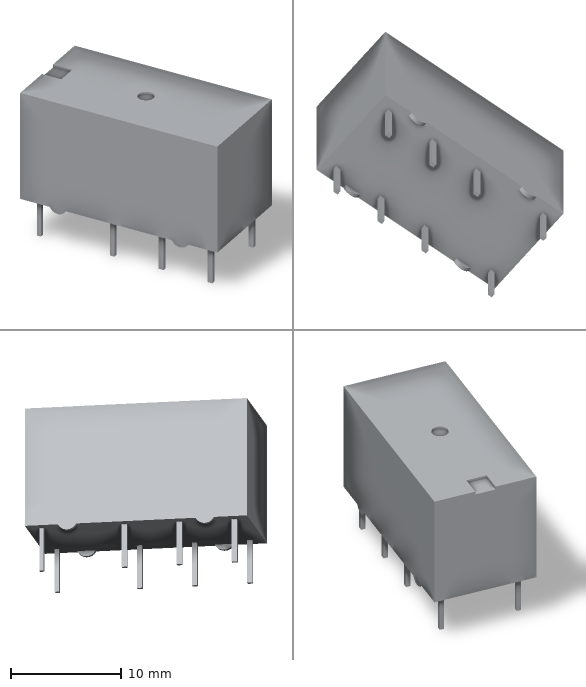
import cadquery as cq

housing_length = 20.5
housing_width = 10.1
total_height = 15.0
pin_length = 4.0
housing_height = total_height - pin_length

pin_pitch = 5.08
row_spacing = 1.5 * pin_pitch
pin_depth = 0.4
coil_pin_width = 0.4
contact_pin_width = 0.5
last_pin_x = 8.9
contact_pin_positions = [last_pin_x - i * pin_pitch for i in range(3)]
coil_pin_x = contact_pin_positions[-1] - 1.5 * pin_pitch

foot_spacing = 12.7
foot_chord = 1.68
foot_drop = 0.51
foot_thickness = 0.4

notch_size = 2.0
notch_depth = 0.3
dimple_diameter = 1.58
dimple_depth = 0.3


def make_pin(x, y, width):
    """Rectangular pin hanging from the underside."""
    return (
        cq.Workplane("XY")
        .center(x, y)
        .rect(width, pin_depth)
        .extrude(-pin_length)
    )


def make_foot(x, y):
    """Circular-segment foot whose thickness is centred on y."""
    half_chord = foot_chord / 2
    return (
        cq.Workplane("XZ", origin=(x, y, 0))
        .moveTo(-half_chord, 0)
        .threePointArc((0, -foot_drop), (half_chord, 0))
        .close()
        .extrude(foot_thickness / 2, both=True)
    )


result = cq.Workplane("XY").box(
    housing_length, housing_width, housing_height, centered=(True, True, False)
)

notch = cq.Workplane("XY").box(
    notch_size, notch_size, notch_depth, centered=(False, True, False)
)
notch_floor = housing_height - notch_depth
result = result.cut(notch.translate((-housing_length / 2, 0, notch_floor)))

dimple = cq.Workplane("XY").circle(dimple_diameter / 2).extrude(dimple_depth)
result = result.cut(dimple.translate((0, 0, housing_height - dimple_depth)))

foot_y = (housing_width - foot_thickness) / 2
for side in (-1, 1):
    pin_y = side * row_spacing / 2
    result = result.union(make_pin(coil_pin_x, pin_y, coil_pin_width))
    for pin_x in contact_pin_positions:
        result = result.union(make_pin(pin_x, pin_y, contact_pin_width))
    for foot_x in (-foot_spacing / 2, foot_spacing / 2):
        result = result.union(make_foot(foot_x, side * foot_y))